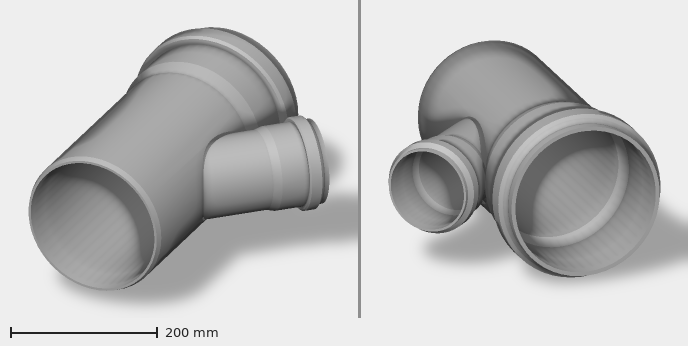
import cadquery as cq
import math

main_length = 421.0
pipe_radius = 200.5 / 2
pipe_bore_radius = 187.8 / 2
spigot_end_radius = 194.5 / 2
spigot_taper_length = 8.5
socket_radius = 212.5 / 2
socket_bore_radius = 202.5 / 2
lip_radius = 214.0 / 2
shoulder_radius = 223.0 / 2
collar_radius = 234.0 / 2

lip_depth = 15.0
shoulder_depth = 22.0
collar_top_depth = 26.0
collar_bottom_depth = 50.5
collar_end_depth = 55.0
socket_depth = 113.0
expansion_depth = 135.5
collar_end_radius = 228.0 / 2

branch_angle = 45.0
branch_origin_y = 117.5
branch_length = 267.0
branch_radius = 110.7 / 2
branch_bore_radius = 103.5 / 2
branch_socket_radius = 117.0 / 2
branch_socket_bore_radius = 111.0 / 2
branch_lip_radius = 117.5 / 2
branch_shoulder_radius = 123.5 / 2
branch_collar_radius = 129.5 / 2

branch_lip_depth = 6.5
branch_shoulder_depth = 9.3
branch_collar_top_depth = 12.0
branch_collar_bottom_depth = 27.0
branch_collar_end_depth = 29.0
branch_socket_depth = 67.5
branch_expansion_depth = 79.5
branch_collar_end_radius = branch_collar_radius - (branch_collar_end_depth - branch_collar_bottom_depth)

weld_sleeve_radius = 57.3
weld_sleeve_start = 63.0
weld_tilt = 3.6
weld_end = 220.5


def revolve_about_y(outline):
    """Turn a list of (radius, Y) points into a solid; the outline closes along the Y axis."""
    start_y = outline[0][1]
    end_y = outline[-1][1]
    points = [(0, start_y)] + outline + [(0, end_y)]
    return cq.Workplane("XY").polyline(points).close().revolve(360, (0, 0), (0, 1))


def place_on_branch(solid):
    """Move a solid built about Y onto the inclined branch axis."""
    return solid.rotate((0, 0, 0), (0, 0, 1), -branch_angle).translate((0, branch_origin_y, 0))


def main_outside():
    return revolve_about_y([
        (spigot_end_radius, 0),
        (pipe_radius, spigot_taper_length),
        (pipe_radius, main_length - expansion_depth),
        (socket_radius, main_length - socket_depth),
        (socket_radius, main_length - collar_end_depth),
        (collar_end_radius, main_length - collar_end_depth),
        (collar_radius, main_length - collar_bottom_depth),
        (collar_radius, main_length - collar_top_depth),
        (shoulder_radius, main_length - shoulder_depth),
        (lip_radius, main_length - lip_depth),
        (lip_radius, main_length),
    ])


def main_bore():
    return revolve_about_y([
        (pipe_bore_radius, 0),
        (pipe_bore_radius, main_length - expansion_depth),
        (socket_bore_radius, main_length - socket_depth),
        (socket_bore_radius, main_length),
    ])


def branch_outside():
    return place_on_branch(revolve_about_y([
        (branch_radius, 0),
        (branch_radius, branch_length - branch_expansion_depth),
        (branch_socket_radius, branch_length - branch_socket_depth),
        (branch_socket_radius, branch_length - branch_collar_end_depth),
        (branch_collar_end_radius, branch_length - branch_collar_end_depth),
        (branch_collar_radius, branch_length - branch_collar_bottom_depth),
        (branch_collar_radius, branch_length - branch_collar_top_depth),
        (branch_shoulder_radius, branch_length - branch_shoulder_depth),
        (branch_lip_radius, branch_length - branch_lip_depth),
        (branch_lip_radius, branch_length),
    ]))


def branch_bore():
    return place_on_branch(revolve_about_y([
        (branch_bore_radius, 0),
        (branch_bore_radius, branch_length - branch_expansion_depth),
        (branch_socket_bore_radius, branch_length - branch_socket_depth),
        (branch_socket_bore_radius, branch_length),
    ]))


def weld_bead():
    sleeve_offset = weld_sleeve_radius - branch_radius
    sleeve = revolve_about_y([
        (weld_sleeve_radius, weld_sleeve_start),
        (weld_sleeve_radius, weld_end),
    ]).translate((-sleeve_offset, 0, 0))
    heel_y = (
        branch_origin_y
        + pipe_radius / math.tan(math.radians(branch_angle))
        - branch_radius / math.sin(math.radians(branch_angle))
    )
    limit = revolve_about_y([(pipe_radius, 0), (pipe_radius, main_length)])
    limit = limit.rotate((pipe_radius, heel_y, 0), (pipe_radius, heel_y, 1), -weld_tilt)
    return place_on_branch(sleeve).intersect(limit)


outside = main_outside().union(branch_outside()).union(weld_bead())
result = outside.cut(main_bore()).cut(branch_bore())